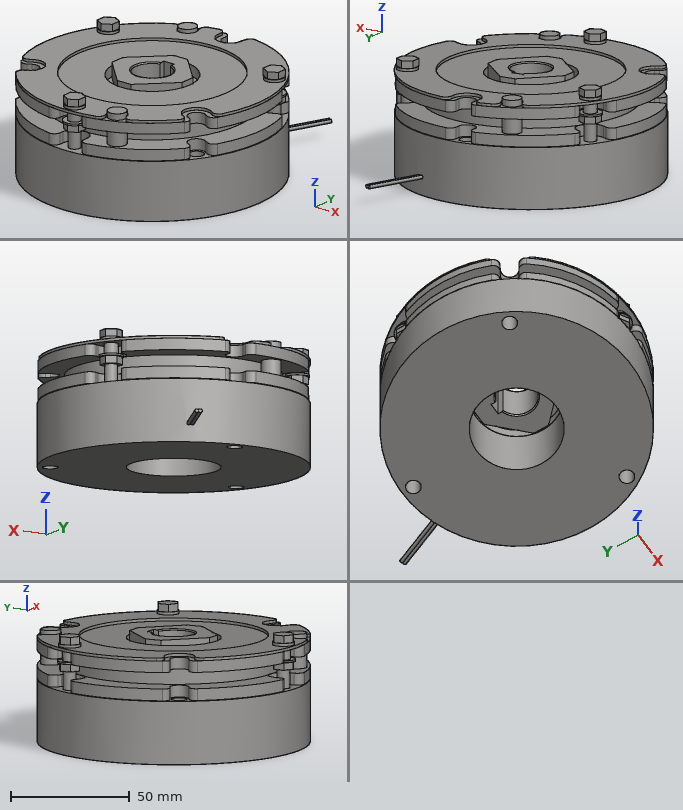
import cadquery as cq
import math

OUTER_R = 57.5
BORE_R = 20.0
ROTOR_R = 46.0
FACE_RECESS_R = 39.9
FASTENER_CIRCLE_R = 51.9

HOUSING_TOP = 27.0
AIR_GAP = 0.3
ARMATURE_THICKNESS = 5.0
ROTOR_THICKNESS = 7.0
FLANGE_THICKNESS = 4.9
SHEET_THICKNESS = 1.2
ARMATURE_BOTTOM = HOUSING_TOP + AIR_GAP
ROTOR_BOTTOM = ARMATURE_BOTTOM + ARMATURE_THICKNESS
FLANGE_BOTTOM = ROTOR_BOTTOM + ROTOR_THICKNESS
SHEET_BOTTOM = FLANGE_BOTTOM + FLANGE_THICKNESS
SHEET_TOP = SHEET_BOTTOM + SHEET_THICKNESS

HOLE_ANGLES = (90, 210, 330)
BOLT_ANGLES = (30, 150, 270)
PIN_ANGLES = (112.5, 292.5)

HOLE_NOTCH_R = 4.0
WIDE_NOTCH_R = 6.4
NOTCH_FILLET = 3.0

PIN_R = 4.2
PIN_TOP = 47.1
PIN_NOTCH_CLEARANCE = 0.3
MOUNTING_HOLE_R = 3.3

CABLE_ANGLE = 67.5
CABLE_END_R = 85.0
CABLE_HEIGHT = 8.0
WIRE_R = 0.8
WIRE_SPACING = 1.5

HUB_ACROSS_FLATS = 32.0
HUB_ACROSS_CORNERS = 37.8
HUB_TOP = 46.3
HUB_LENGTH = 20.0
SHAFT_R = 9.0
SHAFT_CHAMFER = 0.5
KEYWAY_WIDTH = 5.5
KEYWAY_TOP = 11.0

BOLT_TOP = 50.0
HEX_ACROSS_FLATS = 8.2
HEX_CORNER_R = HEX_ACROSS_FLATS / math.sqrt(3)
HEAD_HEIGHT = 3.3
HEAD_WASHER_R = 4.6
SHANK_R = 3.0
NUT_WASHER_R = 5.2
NUT_WASHER_THICKNESS = 0.8
NUT_HEIGHT = 3.3
SLEEVE_R = 2.7
NUT_WASHER_BOTTOM = FLANGE_BOTTOM - NUT_WASHER_THICKNESS
NUT_BOTTOM = NUT_WASHER_BOTTOM - NUT_HEIGHT
HEAD_BOTTOM = BOLT_TOP - HEAD_HEIGHT


def polar(radius, angle, offset=0.0):
    """Point at a radius along an angle, moved sideways by an offset."""
    a = math.radians(angle)
    return (
        radius * math.cos(a) - offset * math.sin(a),
        radius * math.sin(a) + offset * math.cos(a),
    )


def cylinder(radius, bottom, top, center=(0, 0)):
    """Upright cylinder between two heights."""
    return cq.Workplane(origin=(*center, bottom)).circle(radius).extrude(top - bottom)


def hexagon(bottom, top, center):
    """Upright hexagonal prism with two corners along Y."""
    corners = [polar(HEX_CORNER_R, 30 + 60 * i) for i in range(6)]
    return cq.Workplane(origin=(*center, bottom)).polyline(corners).close().extrude(top - bottom)


def square_block(side, bottom, top):
    """Square block centered on the main axis, between two heights."""
    return cq.Workplane(origin=(0, 0, bottom)).rect(side, side).extrude(top - bottom)


def square_prism(bottom, top):
    """Square profile of the hub, standing on its corner."""
    prism = square_block(HUB_ACROSS_FLATS, bottom, top)
    return prism.rotate((0, 0, 0), (0, 0, 1), 45)


def ring(outer_r, inner_r, bottom, top):
    """Flat ring between two heights."""
    return cq.Workplane(origin=(0, 0, bottom)).circle(outer_r).circle(inner_r).extrude(top - bottom)


def cut_rim_notch(disc, angle, radius):
    """Cut a round-ended radial notch open to the rim, and round its two mouth corners."""
    center = polar(FASTENER_CIRCLE_R, angle)
    height = SHEET_TOP
    slot_length = OUTER_R - FASTENER_CIRCLE_R + radius
    slot = (
        cq.Workplane()
        .rect(slot_length, 2 * radius)
        .extrude(height)
        .translate((FASTENER_CIRCLE_R + slot_length / 2, 0, 0))
        .rotate((0, 0, 0), (0, 0, 1), angle)
    )
    disc = disc.cut(slot.union(cylinder(radius, 0, height, center)))
    mouth_r = math.sqrt(OUTER_R**2 - radius**2)
    mid_height = disc.val().BoundingBox().center.z
    for side in (radius, -radius):
        corner = (*polar(mouth_r, angle, side), mid_height)
        disc = disc.edges(cq.NearestToPointSelector(corner)).fillet(NOTCH_FILLET)
    return disc


def notched_disc(bottom, top, inner_r, notches):
    """Ring with rim notches, given as (angles, notch radius) pairs."""
    disc = ring(OUTER_R, inner_r, bottom, top)
    for angles, radius in notches:
        for angle in angles:
            disc = cut_rim_notch(disc, angle, radius)
    return disc


def make_pin(angle):
    """Guide pin rising from the housing face; also the cutter for its holes."""
    return cylinder(PIN_R, HOUSING_TOP, PIN_TOP, polar(FASTENER_CIRCLE_R, angle))


def make_housing():
    """Magnet housing with mounting holes, guide pins and cable."""
    housing = ring(OUTER_R, BORE_R, 0, HOUSING_TOP)
    for angle in HOLE_ANGLES:
        housing = housing.cut(cylinder(MOUNTING_HOLE_R, 0, HOUSING_TOP, polar(FASTENER_CIRCLE_R, angle)))
    for angle in PIN_ANGLES:
        housing = housing.union(make_pin(angle))
    start_r = OUTER_R - WIRE_R
    for side in (-WIRE_SPACING / 2, WIRE_SPACING / 2):
        wire = (
            cq.Workplane("YZ", origin=(start_r, 0, 0))
            .center(side, CABLE_HEIGHT)
            .circle(WIRE_R)
            .extrude(CABLE_END_R - start_r)
            .rotate((0, 0, 0), (0, 0, 1), CABLE_ANGLE)
        )
        housing = housing.union(wire)
    return housing


def make_plate(bottom, top):
    """Thick disc notched at holes and bolts, with round holes for the guide pins."""
    notches = ((HOLE_ANGLES, HOLE_NOTCH_R), (BOLT_ANGLES, WIDE_NOTCH_R))
    plate = notched_disc(bottom, top, BORE_R, notches)
    for angle in PIN_ANGLES:
        plate = plate.cut(make_pin(angle))
    return plate


def make_friction_sheet():
    """Thin ring on top, notched around the holes and pins and drilled for the bolts."""
    notches = ((HOLE_ANGLES, WIDE_NOTCH_R), (PIN_ANGLES, PIN_R + PIN_NOTCH_CLEARANCE))
    sheet = notched_disc(SHEET_BOTTOM, SHEET_TOP, FACE_RECESS_R, notches)
    for angle in BOLT_ANGLES:
        sheet = sheet.cut(cylinder(SHANK_R, SHEET_BOTTOM, SHEET_TOP, polar(FASTENER_CIRCLE_R, angle)))
    return sheet


def make_rotor():
    """Brake rotor with a square hole that fits the hub."""
    rotor = cylinder(ROTOR_R, ROTOR_BOTTOM, FLANGE_BOTTOM)
    return rotor.cut(square_prism(ROTOR_BOTTOM, FLANGE_BOTTOM))


def make_hub():
    """Square hub with flattened corners and a keyed, chamfered shaft bore."""
    bottom = HUB_TOP - HUB_LENGTH
    corner_limit = square_block(HUB_ACROSS_CORNERS, bottom, HUB_TOP)
    hub = square_prism(bottom, HUB_TOP).intersect(corner_limit)
    hub = hub.cut(cylinder(SHAFT_R, bottom, HUB_TOP))
    hub = hub.edges("%CIRCLE").chamfer(SHAFT_CHAMFER)
    keyway = (
        cq.Workplane(origin=(0, KEYWAY_TOP / 2, bottom)).rect(KEYWAY_WIDTH, KEYWAY_TOP).extrude(HUB_LENGTH)
    )
    return hub.cut(keyway)


def make_bolt(angle):
    """Hex bolt with its washers, adjusting nut and spacer sleeve."""
    center = polar(FASTENER_CIRCLE_R, angle)
    return (
        cylinder(SLEEVE_R, HOUSING_TOP, NUT_BOTTOM, center)
        .union(hexagon(NUT_BOTTOM, NUT_WASHER_BOTTOM, center))
        .union(cylinder(NUT_WASHER_R, NUT_WASHER_BOTTOM, FLANGE_BOTTOM, center))
        .union(cylinder(SHANK_R, FLANGE_BOTTOM, SHEET_TOP, center))
        .union(cylinder(HEAD_WASHER_R, SHEET_TOP, HEAD_BOTTOM, center))
        .union(hexagon(HEAD_BOTTOM, BOLT_TOP, center))
    )


housing = make_housing()
armature = make_plate(ARMATURE_BOTTOM, ROTOR_BOTTOM)
rotor = make_rotor()
flange = make_plate(FLANGE_BOTTOM, SHEET_BOTTOM)
friction_sheet = make_friction_sheet()
hub = make_hub()
bolts = [make_bolt(angle).val() for angle in BOLT_ANGLES]

result = cq.Compound.makeCompound(
    [housing.val(), armature.val(), rotor.val(), flange.val(), friction_sheet.val(), hub.val(), *bolts]
)